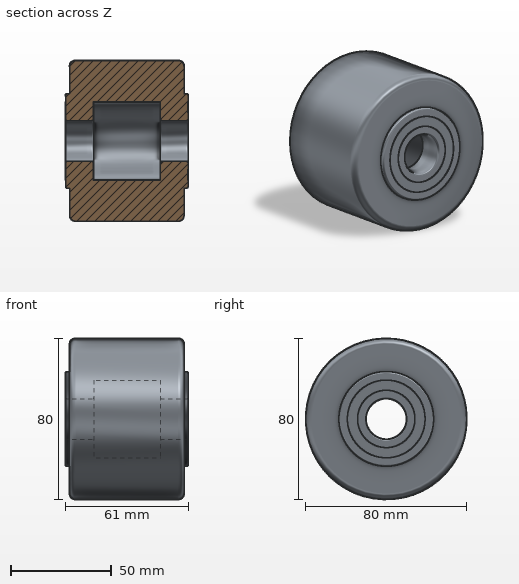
import math

import cadquery as cq

roller_diameter = 80.0
roller_width = 57.0
roller_edge_radius = 3.0

overall_width = 61.0
bearing_diameter = 47.0
bearing_width = 14.0
bearing_edge_radius = 1.0
bore_diameter = 20.0

cavity_diameter = 38.6
cavity_width = overall_width - 2 * bearing_width

recess_outer_diameter = 38.6
recess_inner_diameter = 28.5
recess_depth = 0.1


def centred_cylinder(diameter, width):
    """Solid cylinder along X, centred on the origin."""
    return cq.Workplane("YZ", origin=(-width / 2, 0, 0)).circle(diameter / 2).extrude(width)


def face_recess(side):
    """Ring to cut from the outer bearing face on the given side (+1 or -1) of X."""
    return (
        cq.Workplane("YZ", origin=(side * overall_width / 2, 0, 0))
        .circle(recess_outer_diameter / 2)
        .circle(recess_inner_diameter / 2)
        .extrude(-side * recess_depth)
    )


def bore_flare(end_x, inward):
    """Cutter that rounds a bearing bore at end_x; inward (+1 or -1) points into the bearing."""
    bore_radius = bore_diameter / 2
    flare_radius = bore_radius + bearing_edge_radius
    throat_x = end_x + inward * bearing_edge_radius
    arc_offset = bearing_edge_radius * math.sqrt(0.5)
    arc_middle = (throat_x - inward * arc_offset, flare_radius - arc_offset)
    return (
        cq.Workplane("XY")
        .moveTo(end_x, 0)
        .lineTo(end_x, flare_radius)
        .threePointArc(arc_middle, (throat_x, bore_radius))
        .lineTo(throat_x, 0)
        .close()
        .revolve(360, (0, 0, 0), (1, 0, 0))
    )


roller = centred_cylinder(roller_diameter, roller_width)
roller = roller.edges("%CIRCLE").fillet(roller_edge_radius)
bearings = centred_cylinder(bearing_diameter, overall_width)
bearings = bearings.edges("%CIRCLE").fillet(bearing_edge_radius)

result = roller.union(bearings).cut(centred_cylinder(bore_diameter, overall_width))
result = result.cut(centred_cylinder(cavity_diameter, cavity_width))

for side in (-1, 1):
    outer_end = side * overall_width / 2
    inner_end = outer_end - side * bearing_width
    result = result.cut(face_recess(side))
    result = result.cut(bore_flare(outer_end, -side))
    result = result.cut(bore_flare(inner_end, side))